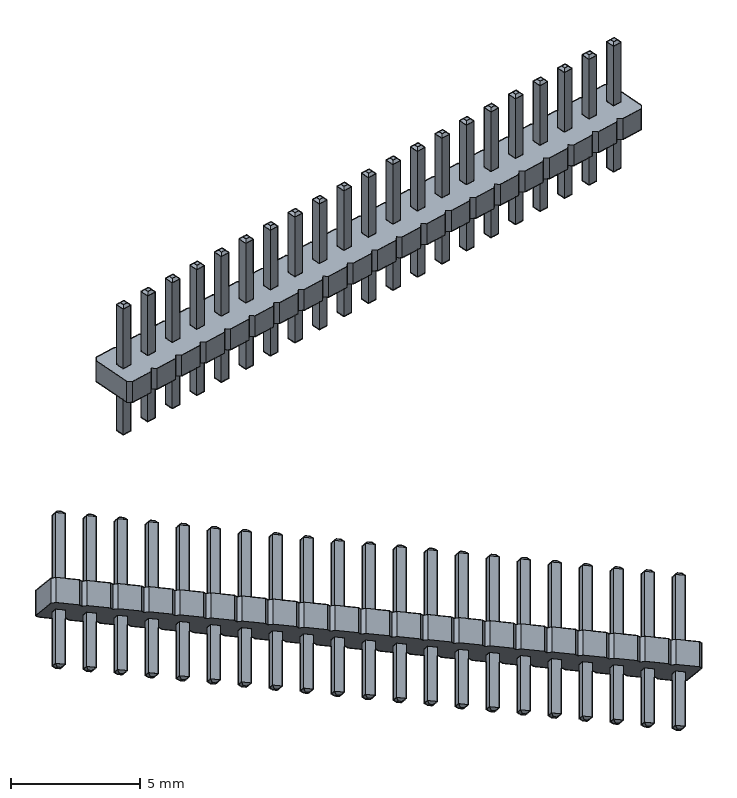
import cadquery as cq

pin_count = 21
body_length = 26.67
body_width = 2.1
body_height = 1.01
corner_chamfer = 0.15
total_height = 6.3
pin_size = 0.4
pin_above_body = 3.0
tip_chamfer = 0.1

pitch = body_length / pin_count
pin_below_body = total_height - body_height - pin_above_body
first_pin_y = (pitch - body_length) / 2
pin_positions = [(0, first_pin_y + i * pitch) for i in range(pin_count)]


def make_body():
    """Insulator strip: chamfered segments joined end to end, resting on Z = 0."""
    segment = (
        cq.Workplane("XY")
        .box(body_width, pitch, body_height, centered=(True, True, False))
        .edges("|Z")
        .chamfer(corner_chamfer)
    )
    return (
        cq.Workplane("XY")
        .pushPoints(pin_positions)
        .eachpoint(lambda place: segment.val().moved(place), combine=True)
    )


def make_pin():
    """Square pin with chamfered tips, running through the body."""
    return (
        cq.Workplane("XY", origin=(0, 0, -pin_below_body))
        .box(pin_size, pin_size, total_height, centered=(True, True, False))
        .faces("<Z or >Z")
        .chamfer(tip_chamfer)
    )


def add_pins(body):
    pin = make_pin()
    return body.pushPoints(pin_positions).eachpoint(lambda place: pin.val().moved(place), combine=True)


result = add_pins(make_body())